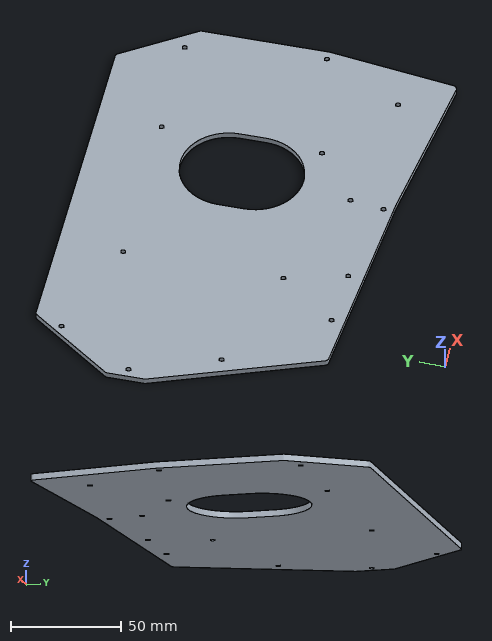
import cadquery as cq

length = 216.5
depth = 155.7
thickness = 3.0
corner_radius = 2.2
tip_overshoot = 0.2

opening_center = (135.5, 83.8)
opening_width = 44.8
opening_height = 57.2

hole_diameter = 2.2
mount_center = (114.8, 88.1)
mount_pitch_x = 79.5
mount_pitch_y = 74.5
edge_holes = [
    (23.8, 142.5),
    (4.3, 107.0),
    (19.5, 67.1),
    (54.4, 23.8),
    (82.7, 22.5),
    (126.7, 16.0),
    (128.8, 31.8),
    (191.5, 23.8),
    (212.0, 61.5),
    (204.9, 126.0),
]

outline = [
    (29.5, 20.0),
    (130.5, 11.0),
    (208.3, -tip_overshoot),
    (length, 61.0),
    (length, 121.3),
    (193.8, depth),
    (28.8, depth),
    (0, 116.5),
    (0, 98.3),
]


def make_plate():
    plate = cq.Workplane("XY").polyline(outline).close().extrude(thickness)
    return plate.edges("|Z").fillet(corner_radius)


def make_opening():
    return (
        cq.Workplane("XY")
        .center(*opening_center)
        .slot2D(opening_height, opening_width, 90)
        .extrude(thickness)
    )


def make_holes():
    mount_holes = [
        (mount_center[0] + side_x * mount_pitch_x / 2, mount_center[1] + side_y * mount_pitch_y / 2)
        for side_x in (-1, 1)
        for side_y in (-1, 1)
    ]
    return (
        cq.Workplane("XY")
        .pushPoints(mount_holes + edge_holes)
        .circle(hole_diameter / 2)
        .extrude(thickness)
    )


result = make_plate().cut(make_opening()).cut(make_holes())